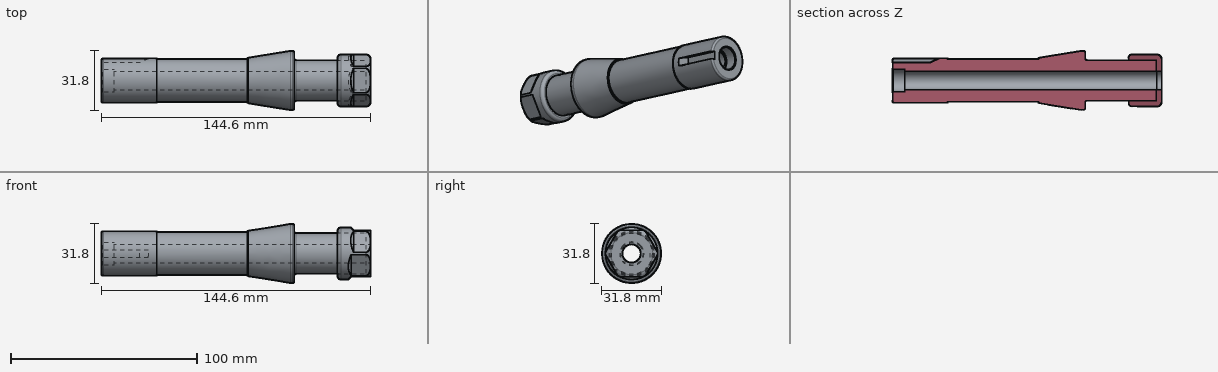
import cadquery as cq
import math

total_length = 144.6
head_length = 29.6
taper_start = 78.4
taper_lip = 0.5
flange_start = 101.2
flange_end = 103.5
nut_start = 126.7
shank_end = 141.7

head_diameter = 24.0
shaft_diameter = 23.3
taper_small_diameter = 24.6
flange_diameter = 31.8
neck_diameter = 22.0
head_fillet = 1.0
flange_fillet = 1.0
neck_fillet = 0.9

bore_diameter = 9.7
counterbore_diameter = 12.0
counterbore_depth = 6.7
bore_entry_diameter = 12.9

slot_width = 4.2
slot_floor_y = 9.7
slot_length = 20.2
slot_ramp_angle = 25.0

nut_diameter = 28.0
nut_back_fillet = 1.9
nut_front_fillet = 2.7
across_flats = 24.9
flat_count = 6
cutter_margin = 1.5
upper_flat_start = 135.3
lower_flat_start = 134.0


def make_cylinder(diameter, start, end):
    """Cylinder on the X axis between two stations."""
    return cq.Workplane("YZ").workplane(offset=start).circle(diameter / 2).extrude(end - start)


def quarter_point(center_x, center_r, radius, x_sign, r_sign):
    """Middle point of a quarter-circle arc in the X-radius plane."""
    offset = radius * math.sqrt(0.5)
    return (center_x + x_sign * offset, center_r + r_sign * offset)


def make_shank_blank():
    head_r = head_diameter / 2
    shaft_r = shaft_diameter / 2
    flange_r = flange_diameter / 2
    neck_r = neck_diameter / 2
    head_arc = quarter_point(head_fillet, head_r - head_fillet, head_fillet, -1, 1)
    flange_arc = quarter_point(
        flange_end - flange_fillet, flange_r - flange_fillet, flange_fillet, 1, 1
    )
    neck_arc = quarter_point(flange_end + neck_fillet, neck_r + neck_fillet, neck_fillet, -1, -1)
    profile = (
        cq.Workplane("XY")
        .moveTo(0, 0)
        .lineTo(0, head_r - head_fillet)
        .threePointArc(head_arc, (head_fillet, head_r))
        .lineTo(head_length, head_r)
        .lineTo(head_length, shaft_r)
        .lineTo(taper_start, shaft_r)
        .lineTo(taper_start, taper_small_diameter / 2 - taper_lip)
        .lineTo(taper_start + taper_lip, taper_small_diameter / 2)
        .lineTo(flange_start, flange_r)
        .lineTo(flange_end - flange_fillet, flange_r)
        .threePointArc(flange_arc, (flange_end, flange_r - flange_fillet))
        .lineTo(flange_end, neck_r + neck_fillet)
        .threePointArc(neck_arc, (flange_end + neck_fillet, neck_r))
        .lineTo(shank_end, neck_r)
        .lineTo(shank_end, 0)
        .close()
    )
    return profile.revolve(360, (0, 0, 0), (1, 0, 0))


def make_bore():
    counterbore_r = counterbore_diameter / 2
    entry_r = bore_entry_diameter / 2
    profile = (
        cq.Workplane("XY")
        .moveTo(0, 0)
        .lineTo(0, entry_r)
        .lineTo(entry_r - counterbore_r, counterbore_r)
        .lineTo(counterbore_depth, counterbore_r)
        .lineTo(counterbore_depth, bore_diameter / 2)
        .lineTo(shank_end, bore_diameter / 2)
        .lineTo(shank_end, 0)
        .close()
    )
    return profile.revolve(360, (0, 0, 0), (1, 0, 0))


def make_key_slot():
    slot_top = head_diameter / 2
    ramp_length = (slot_top - slot_floor_y) / math.tan(math.radians(slot_ramp_angle))
    profile = (
        cq.Workplane("XY")
        .moveTo(0, slot_floor_y)
        .lineTo(slot_length, slot_floor_y)
        .lineTo(slot_length + ramp_length, slot_top)
        .lineTo(0, slot_top)
        .close()
    )
    return profile.extrude(slot_width / 2, both=True)


def make_flat_cutter(start, angle):
    """Material beyond one hexagon flat, with a 45 degree back wall, turned about X from +Z."""
    flat_z = across_flats / 2
    outer_z = nut_diameter / 2 + cutter_margin
    rise = outer_z - flat_z
    profile = (
        cq.Workplane("XZ")
        .moveTo(start, flat_z)
        .lineTo(total_length, flat_z)
        .lineTo(total_length, outer_z)
        .lineTo(start - rise, outer_z)
        .close()
    )
    cutter = profile.extrude(nut_diameter / 2, both=True)
    return cutter.rotate((0, 0, 0), (1, 0, 0), angle)


def make_shank():
    return make_shank_blank().cut(make_bore()).cut(make_key_slot())


def make_nut():
    nut = make_cylinder(nut_diameter, nut_start, total_length)
    nut = nut.faces("<X").edges().fillet(nut_back_fillet)
    nut = nut.faces(">X").edges().fillet(nut_front_fillet)
    for index in range(flat_count):
        angle = index * 360 / flat_count
        faces_up = math.cos(math.radians(angle)) > 0
        start = upper_flat_start if faces_up else lower_flat_start
        nut = nut.cut(make_flat_cutter(start, angle))
    seat = make_cylinder(neck_diameter, nut_start, shank_end)
    opening = make_cylinder(bore_diameter, shank_end, total_length)
    return nut.cut(seat).cut(opening)


shank = make_shank()
nut = make_nut()
result = cq.Compound.makeCompound([shank.val(), nut.val()])